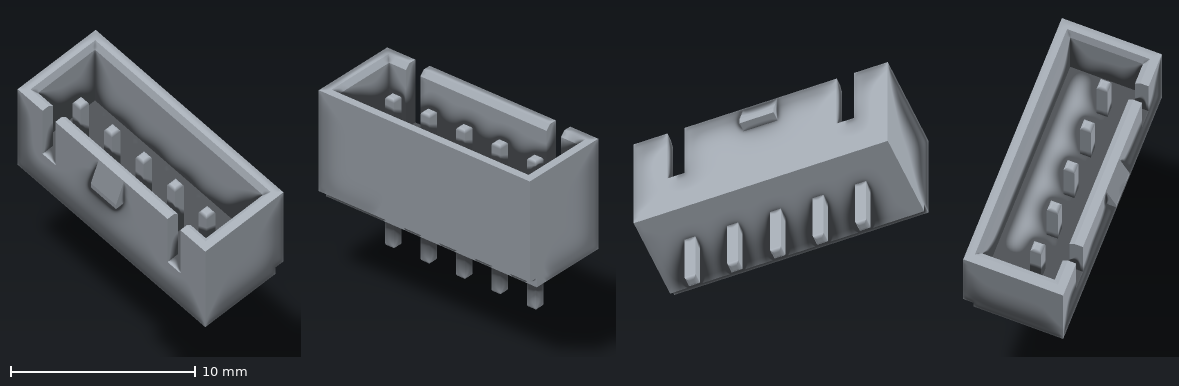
import cadquery as cq

length = 14.9
width = 5.81
height = 7.0
wall = 0.79
cavity_depth = 5.0
mouth_chamfer = 0.3

step_size = 0.6

slot_width = 1.01
slot_end_offset = 1.98
slot_depth = 4.0

latch_width = 2.0
latch_height = 2.01
latch_reach = 0.6
latch_lip = 0.37

pin_count = 5
pin_pitch = 2.5
pin_size = 0.64
pin_front_offset = 2.41
pin_tail = 3.5
pin_top_gap = 1.0
pin_tip_radius = 0.2



def box(x_size, y_size, z_size, y_start, z_start, x_center=0.0):
    """Box centred on x_center, starting at y_start and z_start."""
    solid = cq.Workplane("XY").box(x_size, y_size, z_size, centered=(True, False, False))
    return solid.translate((x_center, y_start, z_start))


def make_housing():
    """Open-topped shell with a chamfered mouth, back step and front slots."""
    floor = height - cavity_depth
    cavity_length = length - 2 * wall
    cavity_width = width - 2 * wall

    shell = box(length, width, height, 0, 0)
    shell = shell.cut(box(cavity_length, cavity_width, cavity_depth, wall, floor))
    margin = wall / 2
    inner_rim = cq.selectors.BoxSelector(
        (-cavity_length / 2 - margin, wall - margin, height - margin),
        (cavity_length / 2 + margin, width - wall + margin, height + margin),
        boundingbox=True,
    )
    shell = shell.edges(inner_rim).chamfer(mouth_chamfer)

    shell = shell.cut(box(length, step_size, step_size, width - step_size, 0))

    slot_x = length / 2 - slot_end_offset - slot_width / 2
    for side in (-1, 1):
        shell = shell.cut(box(slot_width, wall, slot_depth, 0, height - slot_depth, side * slot_x))
    return shell


def make_latch():
    """Wedge that slopes out from the rim and ends in a flat catch."""
    catch_z = height - latch_height
    profile = [
        (0, height),
        (-latch_reach, catch_z + latch_lip),
        (-latch_reach, catch_z),
        (0, catch_z),
    ]
    return cq.Workplane("YZ").polyline(profile).close().extrude(latch_width / 2, both=True)


def make_pin(x_center):
    """Square pin through the housing floor, rounded at both tips."""
    pin_length = height - pin_top_gap + pin_tail
    pin = box(pin_size, pin_size, pin_length, pin_front_offset - pin_size / 2, -pin_tail, x_center)
    return pin.faces("<Z or >Z").edges().fillet(pin_tip_radius)


result = make_housing().union(make_latch())
for index in range(pin_count):
    result = result.union(make_pin((index - (pin_count - 1) / 2) * pin_pitch))